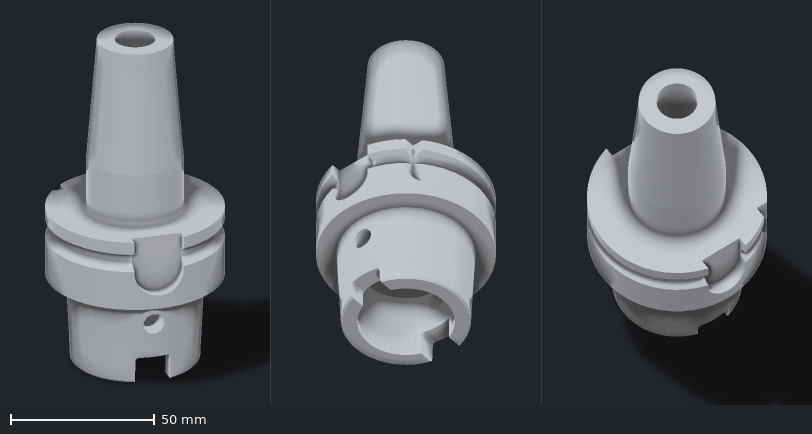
import cadquery as cq

total_height = 122.0
flange_radius = 31.5
flange_height = 25.9
shank_length = 32.1
nose_top = total_height - shank_length

shank_top_radius = 24.4
shank_end_radius = 22.8
shank_end_chamfer = 0.7
cavity_radius = 17.1
cavity_depth = 27.2

groove_radius = 28.5
groove_outer_top = flange_height - 4.5
groove_inner_top = flange_height - 6.2
groove_inner_bottom = flange_height - 9.2
groove_outer_bottom = flange_height - 11.3
groove_fillet = 0.5

neck_radius = 17.1
neck_top = flange_height + 19.3
neck_fillet = 2.0
nose_top_radius = 13.4
bore_radius = 7.2
bore_depth = 36.6

slot_bottom = flange_height - 20.9
left_slot_width = 16.0
right_slot_width = 18.0
slot_floor_x = 26.6
notch_inner_edge = 20.0
notch_width = 16.0
notch_bottom = flange_height - 20.9

drive_slot_width = 12.8
left_drive_slot_depth = 6.2
right_drive_slot_depth = 9.9
drive_slot_fillet = 1.5
cross_hole_diameter = 7.6
cross_hole_height = -9.3

clearance = 1.2


def turned_body():
    """Shank, grooved flange and nose as one revolved profile."""
    profile = (
        cq.Workplane("XZ")
        .moveTo(0, -shank_length)
        .lineTo(shank_end_radius - shank_end_chamfer, -shank_length)
        .lineTo(shank_end_radius, -shank_length + shank_end_chamfer)
        .lineTo(shank_top_radius, 0)
        .lineTo(flange_radius, 0)
        .lineTo(flange_radius, groove_outer_bottom)
        .lineTo(groove_radius, groove_inner_bottom)
        .lineTo(groove_radius, groove_inner_top)
        .lineTo(flange_radius, groove_outer_top)
        .lineTo(flange_radius, flange_height)
        .lineTo(neck_radius + neck_fillet, flange_height)
        .radiusArc((neck_radius, flange_height + neck_fillet), neck_fillet)
        .lineTo(neck_radius, neck_top)
        .lineTo(nose_top_radius, nose_top)
        .lineTo(0, nose_top)
        .close()
    )
    body = profile.revolve(360, (0, 0, 0), (0, 1, 0))
    low_corner = (-clearance, -clearance, (groove_outer_bottom + groove_inner_bottom) / 2)
    high_corner = (clearance, clearance, (groove_outer_top + groove_inner_top) / 2)
    floor_edges = cq.selectors.BoxSelector(low_corner, high_corner)
    return body.edges("%CIRCLE").edges(floor_edges).fillet(groove_fillet)


def vertical_cylinder(radius, bottom, height):
    return cq.Workplane("XY", origin=(0, 0, bottom)).circle(radius).extrude(height)


def rim_slot(side, width, floor_x, center_y, bottom):
    """Cutter for a slot open at the flange top, with a round lower end and a flat floor."""
    radius = width / 2
    arc_height = bottom + radius
    top = flange_height + clearance
    outline = (
        cq.Workplane("YZ", origin=(side * floor_x, 0, 0))
        .moveTo(center_y - radius, top)
        .lineTo(center_y - radius, arc_height)
        .threePointArc((center_y, bottom), (center_y + radius, arc_height))
        .lineTo(center_y + radius, top)
        .close()
    )
    return outline.extrude(side * (flange_radius + clearance - floor_x))


def drive_slot(side, depth):
    """Cutter for a slot through one wall of the shank, open at the shank end."""
    length = shank_top_radius + clearance
    return (
        cq.Workplane("XY", origin=(side * length / 2, 0, -shank_length - clearance))
        .box(length, drive_slot_width, depth + clearance, centered=(True, True, False))
        .edges("|X and >Z")
        .fillet(drive_slot_fillet)
    )


def cross_hole():
    length = 2 * (shank_top_radius + clearance)
    return (
        cq.Workplane("YZ", origin=(-length / 2, 0, cross_hole_height))
        .circle(cross_hole_diameter / 2)
        .extrude(length)
    )


notch_center_y = -(notch_inner_edge + notch_width / 2)
cutters = [
    vertical_cylinder(bore_radius, nose_top - bore_depth, bore_depth),
    vertical_cylinder(cavity_radius, -shank_length, cavity_depth),
    rim_slot(-1, left_slot_width, slot_floor_x, 0, slot_bottom),
    rim_slot(1, right_slot_width, slot_floor_x, 0, slot_bottom),
    rim_slot(-1, notch_width, notch_inner_edge, notch_center_y, notch_bottom),
    drive_slot(-1, left_drive_slot_depth),
    drive_slot(1, right_drive_slot_depth),
    cross_hole(),
]

result = turned_body()
for cutter in cutters:
    result = result.cut(cutter)